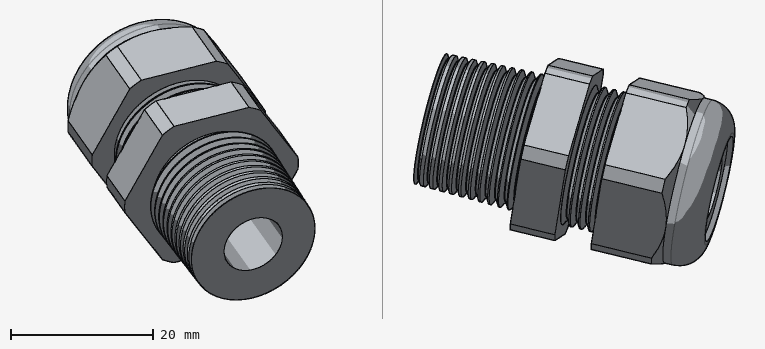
import cadquery as cq
import math


total_length = 41.9
hex_flats = 23.9
hex_corner_radius = 13.25
flat_radius = hex_flats / 2
hex_corner_diameter = hex_flats / math.cos(math.radians(30))

nut_end_x = 15.1
dome_radius = 3.85
hex_start_x = 5.05
mouth_depth = 0.75
mouth_outer_radius = 7.6
mouth_floor_radius = 7.4
socket_x = 4.85

bore_radius = 4.45
body_hex_start_x = 20.35
body_hex_end_x = 26.85

flank_angle = math.radians(30)
root_width = 0.13
neck_crest_radius = 10.1
neck_root_radius = 9.18
neck_first_groove_x = 15.55
neck_groove_count = 4
shank_start_crest_radius = 9.85
shank_end_crest_radius = 9.45
shank_root_radius = 8.85
shank_first_groove_x = 27.45
shank_last_groove_x = 41.45
shank_groove_count = 11
collar_radius = 9.05
groove_pitch = (shank_last_groove_x - shank_first_groove_x) / (shank_groove_count - 1)
groove_cut_clearance = 0.4


def turned(points):
    """Solid of revolution about X from a closed (x, radius) outline."""
    return cq.Workplane("XY").polyline(points).close().revolve(360, (0, 0, 0), (1, 0, 0))


def cylinder(start_x, end_x, radius):
    """Round bar along X."""
    return cq.Workplane("YZ").workplane(offset=start_x).circle(radius).extrude(end_x - start_x)


def hexagon(start_x, end_x):
    """Hexagonal prism along X, flats facing +Z and -Z, with its corners turned down round."""
    prism = (
        cq.Workplane("YZ")
        .workplane(offset=start_x)
        .polygon(6, hex_corner_diameter)
        .extrude(end_x - start_x)
    )
    return prism.intersect(cylinder(start_x, end_x, hex_corner_radius))


def ring_groove(center_x, root_radius, crest_radius):
    """V-shaped ring, to be cut from a bar to leave one thread valley."""
    top_radius = crest_radius + groove_cut_clearance
    root_half = root_width / 2
    top_half = root_half + (top_radius - root_radius) * math.tan(flank_angle)
    return turned([
        (center_x - root_half, root_radius),
        (center_x + root_half, root_radius),
        (center_x + top_half, top_radius),
        (center_x - top_half, top_radius),
    ])


def cut_grooves(bar, first_x, count, root_radius, crest_radius):
    """Cut a row of equally spaced ring grooves into a bar."""
    for index in range(count):
        bar = bar.cut(ring_groove(first_x + index * groove_pitch, root_radius, crest_radius))
    return bar


def make_cap_nut():
    """Domed hexagon nut with a shallow tapered mouth and a socket for the body."""
    dome = cylinder(0, hex_start_x, flat_radius).faces("<X").edges().fillet(dome_radius)
    cone_length = hex_corner_radius - flat_radius
    cone_end_x = hex_start_x + cone_length
    bevel_envelope = turned([
        (hex_start_x, 0),
        (hex_start_x, flat_radius),
        (cone_end_x, hex_corner_radius),
        (nut_end_x, hex_corner_radius),
        (nut_end_x, 0),
    ])
    nut = dome.union(hexagon(hex_start_x, nut_end_x).intersect(bevel_envelope))

    mouth = turned([
        (0, 0),
        (0, mouth_outer_radius),
        (mouth_depth, mouth_floor_radius),
        (mouth_depth, 0),
    ])
    bore = cylinder(0, socket_x, bore_radius)
    socket = cylinder(socket_x, nut_end_x, neck_root_radius)
    return nut.cut(mouth).cut(bore).cut(socket)


def make_neck():
    """Ringed neck between the nut and the body hexagon."""
    bar = cylinder(nut_end_x, body_hex_start_x, neck_crest_radius)
    return cut_grooves(
        bar, neck_first_groove_x, neck_groove_count, neck_root_radius, neck_crest_radius
    )


def make_shank():
    """Ringed shank with tapering crests, level roots and a plain collar at the hexagon."""
    bar = turned([
        (body_hex_end_x, 0),
        (body_hex_end_x, collar_radius),
        (shank_first_groove_x, collar_radius),
        (shank_first_groove_x, shank_start_crest_radius),
        (total_length, shank_end_crest_radius),
        (total_length, 0),
    ])
    return cut_grooves(
        bar, shank_first_groove_x, shank_groove_count, shank_root_radius, shank_start_crest_radius
    )


def make_gland_body():
    """Spigot inside the nut, ringed neck, hexagon and ringed shank, bored through."""
    spigot = cylinder(socket_x, nut_end_x, neck_root_radius)
    body = (
        spigot
        .union(make_neck())
        .union(hexagon(body_hex_start_x, body_hex_end_x))
        .union(make_shank())
    )
    return body.cut(cylinder(socket_x, total_length, bore_radius))


cap_nut = make_cap_nut()
gland_body = make_gland_body()
result = cq.Compound.makeCompound([cap_nut.val(), gland_body.val()])